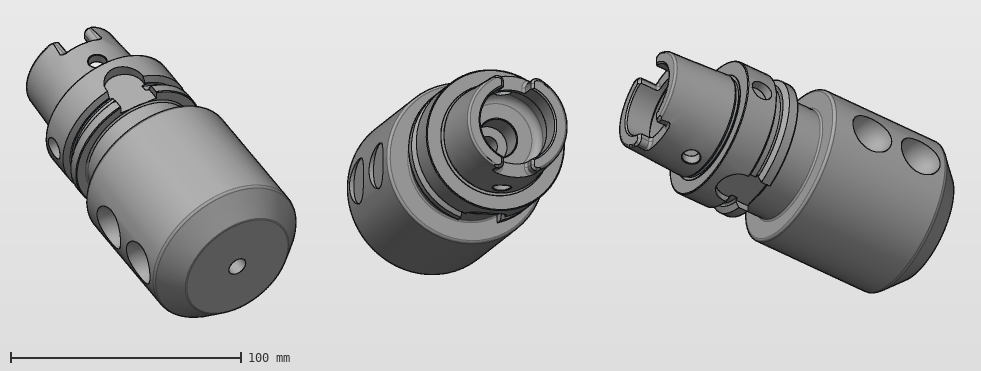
import cadquery as cq
import math


shank_length = 31.9
taper_radius = 24.3
taper_slope = 0.05
shank_end_radius = taper_radius - taper_slope * shank_length
shank_edge_round = 1.0
relief_width = 1.9
relief_lead_length = 1.0
relief_radius = 23.4
relief_face_radius = 24.9
relief_face_depth = 0.3

mouth_radius = 17.0
mouth_chamfer = 0.7
mouth_length = 12.3
clamp_radius = 19.3
clamp_cone_angle = 60.0
clamp_bottom_round = 3.8
clamp_bottom_x = -3.2
tube_seat_radius = 8.6
tube_seat_chamfer = 0.4
tube_seat_depth = 14.0
coolant_radius = 4.25

slot_half_width = 6.25
slot_shoulder_height = 20.65
slot_shoulder_round = 2.4
slot_shoulder_half_span = 14.0
slot_floor_round = 1.3
slot_edge_chamfer = 1.2
upper_slot_depth = 10.0
lower_slot_depth = 6.2

cross_hole_radius = 3.95
cross_hole_chamfer = 0.3
cross_hole_x = -9.1

flange_radius = 31.5
flange_length = 26.0
flange_chamfer = 0.4
groove_center_x = 18.0
groove_top_width = 6.7
groove_bottom_width = 3.6
groove_radius = 27.5
groove_wall_angle = 60.0
groove_bottom_round = 0.5
keyway_width = 18.0
keyway_floor_height = 26.5
keyway_start_x = 5.2
data_hole_radius = 5.0
data_hole_depth = 4.6
data_hole_x = 7.2

neck_radius = 26.0
neck_round = 0.8
head_radius = 36.0
head_start_x = 41.6
head_end_x = 110.0
head_back_round = 1.2
nose_length = 10.4
nose_end_radius = 25.9
nose_round = 2.0
nose_end_round = 0.8

screw_radius = 10.0
screw_length = 20.0
screw_outer_y = 34.0
screw_xs = (58.0, 86.0)
dimple_radius = 10.0
dimple_center_y = -head_radius
dimple_xs = (61.3, 86.3)

cutter_margin = 1.0
selection_margin = 0.1
rim_inner_ratio = 0.92


def revolve_about_x(outline):
    return outline.close().revolve(360, (0, 0, 0), (1, 0, 0))


def cylinder_along_y(radius, x, start_y, end_y):
    base_plane = cq.Plane(origin=(x, start_y, 0), xDir=(1, 0, 0), normal=(0, 1, 0))
    return cq.Workplane(base_plane).circle(radius).extrude(end_y - start_y)


def make_shank():
    return revolve_about_x(
        cq.Workplane("XZ")
        .moveTo(-shank_length, 0)
        .lineTo(-shank_length, shank_end_radius - shank_edge_round)
        .radiusArc((-shank_length + shank_edge_round, shank_end_radius), shank_edge_round)
        .lineTo(-relief_width, taper_radius - taper_slope * relief_width)
        .lineTo(-relief_width + relief_lead_length, relief_radius)
        .lineTo(relief_face_depth, relief_radius)
        .lineTo(relief_face_depth, 0)
    )


def make_clamp_bore():
    cone_length = (clamp_radius - mouth_radius) / math.tan(math.radians(clamp_cone_angle))
    cone_start_x = -shank_length + mouth_length
    return revolve_about_x(
        cq.Workplane("XZ")
        .moveTo(-shank_length, 0)
        .lineTo(-shank_length, mouth_radius + mouth_chamfer)
        .lineTo(-shank_length + mouth_chamfer, mouth_radius)
        .lineTo(cone_start_x, mouth_radius)
        .lineTo(cone_start_x + cone_length, clamp_radius)
        .lineTo(clamp_bottom_x - clamp_bottom_round, clamp_radius)
        .radiusArc((clamp_bottom_x, clamp_radius - clamp_bottom_round), clamp_bottom_round)
        .lineTo(clamp_bottom_x, 0)
    )


def make_tube_seat():
    return revolve_about_x(
        cq.Workplane("XZ")
        .moveTo(clamp_bottom_x, 0)
        .lineTo(clamp_bottom_x, tube_seat_radius + tube_seat_chamfer)
        .lineTo(clamp_bottom_x + tube_seat_chamfer, tube_seat_radius)
        .lineTo(clamp_bottom_x + tube_seat_depth, tube_seat_radius)
        .lineTo(clamp_bottom_x + tube_seat_depth, 0)
    )


def make_drive_slot(depth, side):
    """Slot cutter for the +Z (side = 1) or -Z (side = -1) side of the shank end."""
    wall_top = slot_shoulder_height - slot_shoulder_round
    shoulder_start = slot_half_width + slot_shoulder_round
    top = taper_radius + cutter_margin
    outline = (
        cq.Workplane("YZ", origin=(-shank_length, 0, 0))
        .moveTo(-slot_half_width, 0)
        .lineTo(-slot_half_width, side * wall_top)
        .radiusArc((-shoulder_start, side * slot_shoulder_height), -side * slot_shoulder_round)
        .lineTo(-slot_shoulder_half_span, side * slot_shoulder_height)
        .lineTo(-slot_shoulder_half_span, side * top)
        .lineTo(slot_shoulder_half_span, side * top)
        .lineTo(slot_shoulder_half_span, side * slot_shoulder_height)
        .lineTo(shoulder_start, side * slot_shoulder_height)
        .radiusArc((slot_half_width, side * wall_top), -side * slot_shoulder_round)
        .lineTo(slot_half_width, 0)
        .close()
    )
    slot = outline.extrude(depth).faces(">X").edges().fillet(slot_floor_round)
    mouth = outline.wires().val().offset2D(slot_edge_chamfer, "intersection")
    flare = cq.Workplane(outline.plane).newObject(mouth).toPending().extrude(slot_edge_chamfer, taper=45)
    return slot.union(flare)


def cut_cross_hole(shank):
    cross_hole = (
        cq.Workplane("XY")
        .center(cross_hole_x, 0)
        .circle(cross_hole_radius)
        .extrude(taper_radius, both=True)
    )
    drilled = shank.cut(cross_hole)
    half_span = cross_hole_radius + selection_margin
    for z in (taper_radius, -taper_radius):
        rim = cq.selectors.BoxSelector(
            (cross_hole_x - half_span, -half_span, z * rim_inner_ratio),
            (cross_hole_x + half_span, half_span, z),
            boundingbox=True,
        )
        drilled = drilled.edges(rim).chamfer(cross_hole_chamfer)
    return drilled


def make_flange():
    wall_length = (groove_top_width - groove_bottom_width) / 2
    wall_foot_radius = flange_radius - wall_length * math.tan(math.radians(groove_wall_angle))
    groove_top_start = groove_center_x - groove_top_width / 2
    groove_top_end = groove_center_x + groove_top_width / 2
    groove_bottom_start = groove_center_x - groove_bottom_width / 2
    groove_bottom_end = groove_center_x + groove_bottom_width / 2
    flange = revolve_about_x(
        cq.Workplane("XZ")
        .lineTo(0, flange_radius - flange_chamfer)
        .lineTo(flange_chamfer, flange_radius)
        .lineTo(groove_top_start, flange_radius)
        .lineTo(groove_bottom_start, wall_foot_radius)
        .lineTo(groove_bottom_start, groove_radius + groove_bottom_round)
        .radiusArc((groove_bottom_start + groove_bottom_round, groove_radius), -groove_bottom_round)
        .lineTo(groove_bottom_end - groove_bottom_round, groove_radius)
        .radiusArc((groove_bottom_end, groove_radius + groove_bottom_round), -groove_bottom_round)
        .lineTo(groove_bottom_end, wall_foot_radius)
        .lineTo(groove_top_end, flange_radius)
        .lineTo(flange_length - flange_chamfer, flange_radius)
        .lineTo(flange_length, flange_radius - flange_chamfer)
        .lineTo(flange_length, 0)
    )
    face_relief = cq.Workplane("YZ").circle(relief_face_radius).extrude(relief_face_depth)
    return flange.cut(face_relief)


def make_keyway(side):
    """Round-ended slot cutter for the +Z (side = 1) or -Z (side = -1) side of the flange."""
    half_width = keyway_width / 2
    arc_center_x = keyway_start_x + half_width
    return (
        cq.Workplane("XY", origin=(0, 0, side * keyway_floor_height))
        .moveTo(flange_length, -half_width)
        .lineTo(arc_center_x, -half_width)
        .threePointArc((keyway_start_x, 0), (arc_center_x, half_width))
        .lineTo(flange_length, half_width)
        .close()
        .extrude(side * flange_radius)
    )


def make_neck():
    return revolve_about_x(
        cq.Workplane("XZ")
        .moveTo(flange_length, 0)
        .lineTo(flange_length, neck_radius + neck_round)
        .radiusArc((flange_length + neck_round, neck_radius), -neck_round)
        .lineTo(head_start_x - neck_round, neck_radius)
        .radiusArc((head_start_x, neck_radius + neck_round), -neck_round)
        .lineTo(head_start_x, 0)
    )


def make_head():
    nose_start_x = head_end_x - nose_length
    head = revolve_about_x(
        cq.Workplane("XZ")
        .moveTo(head_start_x, 0)
        .lineTo(head_start_x, head_radius)
        .lineTo(nose_start_x, head_radius)
        .lineTo(head_end_x, nose_end_radius)
        .lineTo(head_end_x, 0)
    )
    head = head.faces("<X").edges().fillet(head_back_round)
    head = head.faces(">X").edges().fillet(nose_end_round)
    reach = head_radius + cutter_margin
    nose_rim = cq.selectors.BoxSelector(
        (nose_start_x - selection_margin, -reach, -reach),
        (nose_start_x + selection_margin, reach, reach),
        boundingbox=True,
    )
    return head.edges(nose_rim).fillet(nose_round)


def make_screw(x):
    return cylinder_along_y(screw_radius, x, screw_outer_y - screw_length, screw_outer_y)


def make_holder():
    shank = make_shank().cut(make_drive_slot(upper_slot_depth, 1))
    shank = shank.cut(make_drive_slot(lower_slot_depth, -1))
    shank = cut_cross_hole(shank.cut(make_clamp_bore()))

    holder = shank.union(make_flange()).union(make_neck()).union(make_head())
    holder = holder.cut(make_clamp_bore()).cut(make_tube_seat())
    for side in (1, -1):
        holder = holder.cut(make_keyway(side))

    coolant_hole = cq.Workplane("YZ").circle(coolant_radius).extrude(head_end_x)
    data_hole = cylinder_along_y(
        data_hole_radius, data_hole_x, -flange_radius, -flange_radius + data_hole_depth
    )
    holder = holder.cut(coolant_hole).cut(data_hole)

    for x in dimple_xs:
        dimple = cq.Workplane("XY").sphere(dimple_radius).translate((x, dimple_center_y, 0))
        holder = holder.cut(dimple)
    for x in screw_xs:
        screw_hole = cylinder_along_y(screw_radius, x, screw_outer_y - screw_length, head_radius)
        holder = holder.cut(screw_hole)
    return holder


holder = make_holder()
clamp_screws = [make_screw(x) for x in screw_xs]

result = cq.Compound.makeCompound(
    [*holder.solids().vals(), *[screw.val() for screw in clamp_screws]]
)